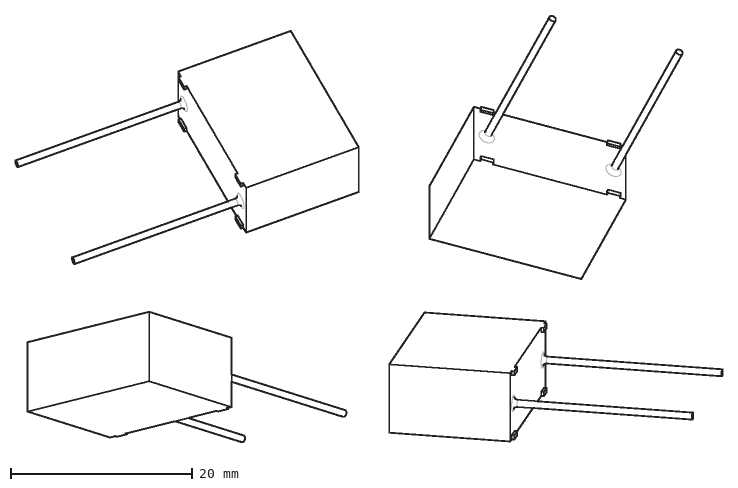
import cadquery as cq

body_width = 18.0
body_depth = 13.7
body_height = 8.0

foot_width = 1.5
foot_thickness = 0.5
foot_length = 0.3

total_length = 34.0
lead_pitch = 15.0
lead_diameter = 0.8
flare_radius = 0.5
lead_length = total_length - body_depth

lead_positions = (-lead_pitch / 2, lead_pitch / 2)


def make_body():
    return cq.Workplane("XY").box(
        body_width, body_depth, body_height, centered=(True, False, True)
    )


def make_foot(x, side):
    """Foot at the given x, flush with the top (side = 1) or bottom (side = -1) face."""
    z = side * (body_height - foot_thickness) / 2
    foot = cq.Workplane("XY").box(foot_width, foot_length, foot_thickness)
    return foot.translate((x, -foot_length / 2, z))


def make_lead(x):
    """Lead along -Y, revolved from a half profile with a quarter-round flare."""
    radius = lead_diameter / 2
    profile = (
        cq.Workplane("XY")
        .lineTo(radius + flare_radius, 0)
        .radiusArc((radius, -flare_radius), -flare_radius)
        .lineTo(radius, -lead_length)
        .lineTo(0, -lead_length)
        .close()
    )
    lead = profile.revolve(360, (0, 0, 0), (0, 1, 0))
    return lead.translate((x, 0, 0))


result = make_body()
for lead_x in lead_positions:
    result = result.union(make_lead(lead_x))
    for face_side in (-1, 1):
        result = result.union(make_foot(lead_x, face_side))